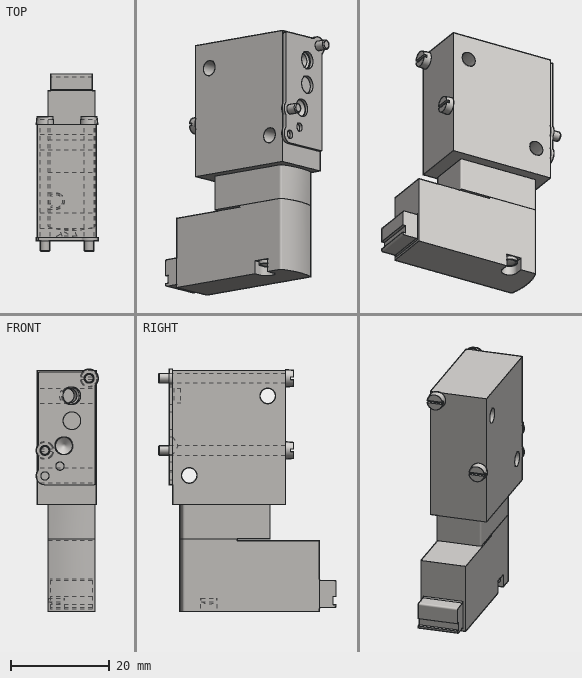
import cadquery as cq
import math


housing_width = 12.1
housing_depth = 23.05
housing_height = 27.33
neck_depth = 18.5
neck_height = 7.0
coil_width = 9.65
coil_depth = 28.5
coil_height = 14.8

neck_bottom = coil_height
housing_bottom = neck_bottom + neck_height
housing_top = housing_bottom + housing_height
housing_left = -housing_width / 2
housing_right = housing_width / 2

cross_hole_diameter = 3.1
cross_holes = [(3.4, housing_top - 21.4), (19.4, housing_top - 5.2)]

coil_inset = 2.2
coil_left = housing_left + coil_inset
coil_right = coil_left + coil_width
coil_middle = coil_left + coil_width / 2
coil_front = 1.4
coil_back = coil_front + coil_depth
neck_back = coil_front + neck_depth
front_bow_radius = 15.0
front_corner_radius = 0.5
neck_back_corner_radius = 0.35
clearance_height = 0.35
clearance_front = 13.2

override_y = 7.4
override_depth = 1.7
pocket_height = 2.7
pocket_width = 3.35
button_diameter = 3.2
button_side_height = 0.75
button_dome_diameter = 2.6
button_dome_height = 0.45

connector_width = 8.5
connector_length = 3.45
connector_bottom = 0.8
connector_height = 5.55
connector_base_flare = 0.25
connector_tip_radius = 0.4
connector_notch_bottom = 1.4
connector_notch_height = 1.65
connector_notch_depth = 0.65

screw_inset = 1.6
screw_spacing_x = 9.0
screw_spacing_z = 14.7
lower_screw = (housing_left + screw_inset, housing_top - screw_inset - screw_spacing_z)
upper_screw = (lower_screw[0] + screw_spacing_x, housing_top - screw_inset)
screw_diameter = 2.0
screw_tip_diameter = 1.6
screw_tip_length = 0.25
screw_protrusion = 2.9
screw_head_diameter = 3.6
screw_head_top_diameter = 3.3
screw_head_height = 1.6
screw_slot_width = 0.5
screw_slot_depth = 0.6

gasket_thickness = 0.7
gasket_margin = 0.3
ear_radius = 1.8
upper_ear_radius = 1.9
ear_blend_radius = 0.5
gasket_top_corner_radius = 0.3
gasket_bottom_corner_radius = 0.2
locating_ear_drop = 5.2
locating_ear = (lower_screw[0], lower_screw[1] - locating_ear_drop)
gasket_left = housing_left + gasket_margin
gasket_right = housing_right - gasket_margin
gasket_top = housing_top - gasket_margin
gasket_bottom = locating_ear[1] - ear_radius
small_hole_diameter = 1.69
small_holes = [locating_ear, (housing_left + 4.65, housing_top - 19.5)]

port_diameter = 3.6
port_bore_diameter = 3.0
port_mouth_depth = 0.25
outlet_port = (housing_left + 7.1, housing_top - 5.15)
closed_port = (housing_left + 7.1, housing_top - 10.25)
inlet_port = (housing_left + 5.4, housing_top - 15.35)
inlet_bore_shift = 0.15
inlet_cone_depth = 0.9
outlet_mouth_shift = -0.3
outlet_bore_shift = -0.5
outlet_floor_shift = -1.05
outlet_bore_depth = 1.6


def block(x_range, y_range, z_range):
    """Box between the two ends given for each axis."""
    size = [end - start for start, end in (x_range, y_range, z_range)]
    corner = (x_range[0], y_range[0], z_range[0])
    return cq.Workplane("XY").box(*size, centered=False).translate(corner)


def rod_along_y(center, diameter, y_start, y_end):
    """Round bar along Y, centred on (x, z)."""
    plane = cq.Plane(origin=(center[0], y_start, center[1]), xDir=(1, 0, 0), normal=(0, 1, 0))
    return cq.Workplane(plane).circle(diameter / 2).extrude(y_end - y_start)


def taper_along_y(start, end):
    """Tapered, possibly slanting bar between two circles given as (x, y, z, diameter)."""
    circles = [
        cq.Wire.makeCircle(diameter / 2, cq.Vector(x, y, z), cq.Vector(0, 1, 0))
        for x, y, z, diameter in (start, end)
    ]
    return cq.Workplane(cq.Solid.makeLoft(circles, True))


def screw_shank(axis):
    return rod_along_y(axis, screw_diameter, -screw_protrusion, housing_depth)



def inlet_bore():
    """Countersunk blind bore that ends in a cone."""
    x = inlet_port[0] + inlet_bore_shift
    z = inlet_port[1]
    mouth = taper_along_y((x, 0, z, port_diameter), (x, port_mouth_depth, z, port_bore_diameter))
    cone = cq.Solid.makeCone(
        port_bore_diameter / 2, 0, inlet_cone_depth, cq.Vector(x, port_mouth_depth, z), cq.Vector(0, 1, 0)
    )
    return mouth.union(cq.Workplane(cone))


def outlet_bore():
    """Countersunk bore that slants towards -X and ends in a flat floor."""
    x, z = outlet_port
    mouth = (x + outlet_mouth_shift, 0, z, port_diameter)
    throat = (x + outlet_bore_shift, port_mouth_depth, z, port_bore_diameter)
    floor = (x + outlet_floor_shift, outlet_bore_depth, z, port_bore_diameter)
    return taper_along_y(mouth, throat).union(taper_along_y(throat, floor))


def make_housing():
    housing = block((housing_left, housing_right), (0, housing_depth), (housing_bottom, housing_top))
    housing = housing.cut(
        cq.Workplane("YZ", origin=(housing_left, 0, 0))
        .pushPoints(cross_holes).circle(cross_hole_diameter / 2).extrude(housing_width)
    )
    for axis in (lower_screw, upper_screw):
        housing = housing.cut(screw_shank(axis))
    return housing.cut(inlet_bore()).cut(outlet_bore())



def make_gasket():
    plate = block((gasket_left, gasket_right), (-gasket_thickness, 0), (gasket_bottom, gasket_top))
    plate = plate.edges("|Y and <X and >Z").fillet(gasket_top_corner_radius)
    plate = plate.edges("|Y and >X and <Z").fillet(gasket_bottom_corner_radius)

    corner = block(
        (gasket_left, locating_ear[0]), (-gasket_thickness, 0), (gasket_bottom, locating_ear[1])
    )
    plate = plate.cut(corner)

    ears = [(locating_ear, ear_radius), (lower_screw, ear_radius), (upper_screw, upper_ear_radius)]
    for center, radius in ears:
        plate = plate.union(rod_along_y(center, 2 * radius, -gasket_thickness, 0))

    def ear_reach(center, radius, edge_x):
        return math.sqrt(radius**2 - (center[0] - edge_x)**2)

    def top_reach(center, radius):
        return math.sqrt(radius**2 - (center[1] - gasket_top)**2)

    left_reach = ear_reach(lower_screw, ear_radius, gasket_left)
    right_reach = ear_reach(upper_screw, upper_ear_radius, gasket_right)
    joints = [
        (gasket_left, lower_screw[1] + left_reach),
        (gasket_left, lower_screw[1] - left_reach),
        (gasket_left, locating_ear[1] + left_reach),
        (gasket_right, upper_screw[1] - right_reach),
        (upper_screw[0] - top_reach(upper_screw, upper_ear_radius), gasket_top),
    ]
    for x, z in joints:
        nearest = cq.selectors.NearestToPointSelector((x, -gasket_thickness / 2, z))
        plate = plate.edges("|Y").edges(nearest).fillet(ear_blend_radius)

    for port in (outlet_port, closed_port, inlet_port):
        plate = plate.cut(rod_along_y(port, port_diameter, -gasket_thickness, 0))
    for hole in small_holes:
        plate = plate.cut(rod_along_y(hole, small_hole_diameter, -gasket_thickness, 0))
    for axis in (lower_screw, upper_screw):
        plate = plate.cut(screw_shank(axis))
    return plate



def make_screw(axis):
    tip_chamfer = (screw_diameter - screw_tip_diameter) / 2
    shank = screw_shank(axis).faces("<Y").chamfer(screw_tip_length, tip_chamfer)
    x, z = axis
    head_top = housing_depth + screw_head_height
    head = taper_along_y(
        (x, housing_depth, z, screw_head_diameter), (x, head_top, z, screw_head_top_diameter)
    )
    slot = block(
        (x - screw_head_diameter, x + screw_head_diameter),
        (head_top - screw_slot_depth, head_top),
        (z - screw_slot_width / 2, z + screw_slot_width / 2),
    )
    return shank.union(head).cut(slot)



def bowed_block(back, bottom, top):
    """Block of the coil's width whose front is a shallow arc with rounded corners."""
    half_width = coil_width / 2
    bow = front_bow_radius - math.sqrt(front_bow_radius**2 - half_width**2)
    return (
        cq.Workplane("XY", origin=(0, 0, bottom))
        .moveTo(coil_left, back)
        .lineTo(coil_left, coil_front + bow)
        .threePointArc((coil_middle, coil_front), (coil_right, coil_front + bow))
        .lineTo(coil_right, back)
        .close()
        .extrude(top - bottom)
        .edges("|Z and (not >Y)").fillet(front_corner_radius)
    )


def make_neck():
    neck = bowed_block(neck_back, neck_bottom, housing_bottom)
    return neck.edges("|Z and >Y").fillet(neck_back_corner_radius)


def make_coil():
    coil = bowed_block(coil_back, 0, coil_height)
    clearance = block(
        (coil_left, coil_right), (clearance_front, coil_back), (coil_height - clearance_height, coil_height)
    )
    override_x = coil_left + override_depth
    pocket = (
        cq.Workplane("XY")
        .center(override_x, override_y)
        .circle(pocket_width / 2)
        .extrude(pocket_height)
    )
    slot = block(
        (coil_left, override_x),
        (override_y - pocket_width / 2, override_y + pocket_width / 2),
        (0, pocket_height),
    )
    return coil.cut(clearance).cut(pocket).cut(slot)



def make_button():
    radius = button_diameter / 2
    side_bottom = pocket_height - button_side_height
    dome_bottom = side_bottom - button_dome_height
    dome_edge = button_dome_diameter / 2
    dome_radius = (dome_edge**2 + button_dome_height**2) / (2 * button_dome_height)
    half_angle = math.asin(dome_edge / dome_radius) / 2
    dome_middle = (
        dome_radius * math.sin(half_angle),
        dome_bottom + dome_radius * (1 - math.cos(half_angle)),
    )
    return (
        cq.Workplane("XZ")
        .moveTo(0, pocket_height)
        .lineTo(radius, pocket_height)
        .lineTo(radius, side_bottom)
        .lineTo(dome_edge, side_bottom)
        .threePointArc(dome_middle, (0, dome_bottom))
        .close()
        .revolve(360, (0, 0), (0, 1))
        .translate((coil_left + override_depth, override_y, 0))
    )



def make_connector():
    tip = coil_back + connector_length
    top = connector_bottom + connector_height
    notch_top = connector_notch_bottom + connector_notch_height
    notch_floor = tip - connector_notch_depth
    left = coil_middle - connector_width / 2
    right = coil_middle + connector_width / 2
    body = block((left, right), (coil_back, tip), (connector_bottom, top))
    body = body.edges("|X and >Y").fillet(connector_tip_radius)
    notch = block((left, right), (notch_floor, tip), (connector_notch_bottom, notch_top))
    body = body.cut(notch)

    for edge, outward in ((top, 1), (connector_bottom, -1)):
        flare = (
            cq.Workplane("YZ", origin=(left, 0, 0))
            .moveTo(coil_back, edge)
            .lineTo(coil_back, edge + outward * connector_base_flare)
            .lineTo(coil_back + connector_base_flare, edge)
            .close()
            .extrude(connector_width)
        )
        body = body.union(flare)
    return body


housing = make_housing()
gasket = make_gasket()
screws = [make_screw(axis) for axis in (lower_screw, upper_screw)]
neck = make_neck()
coil = make_coil()
button = make_button()
connector = make_connector()

result = cq.Compound.makeCompound([
    housing.val(),
    gasket.val(),
    *[screw.val() for screw in screws],
    neck.val(),
    coil.val(),
    button.val(),
    connector.val(),
])